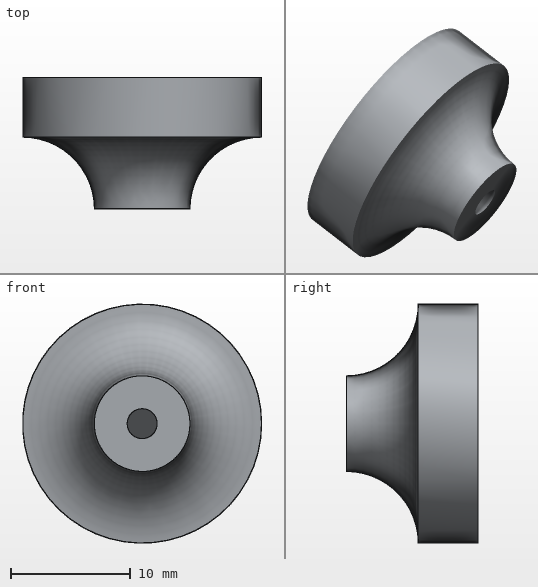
import cadquery as cq
import math

disc_diameter = 20.0
disc_thickness = 5.0
neck_diameter = 8.0
hole_diameter = 2.5

disc_radius = disc_diameter / 2
neck_radius = neck_diameter / 2
flare_radius = disc_radius - neck_radius
neck_length = flare_radius
hole_depth = neck_length


def knob_body():
    """Disc and neck joined by a concave quarter-circle flare, revolved about Y."""
    diagonal_offset = flare_radius * math.sqrt(0.5)
    flare_middle = (disc_radius - diagonal_offset, -neck_length + diagonal_offset)
    return (
        cq.Workplane("XY")
        .moveTo(0, disc_thickness)
        .lineTo(disc_radius, disc_thickness)
        .lineTo(disc_radius, 0)
        .threePointArc(flare_middle, (neck_radius, -neck_length))
        .lineTo(0, -neck_length)
        .close()
        .revolve(360, (0, 0, 0), (0, 1, 0))
    )


def neck_hole():
    """Blind cylindrical hole running inward from the neck end."""
    return (
        cq.Workplane("XZ", origin=(0, -neck_length, 0))
        .circle(hole_diameter / 2)
        .extrude(-hole_depth)
    )


result = knob_body().cut(neck_hole())